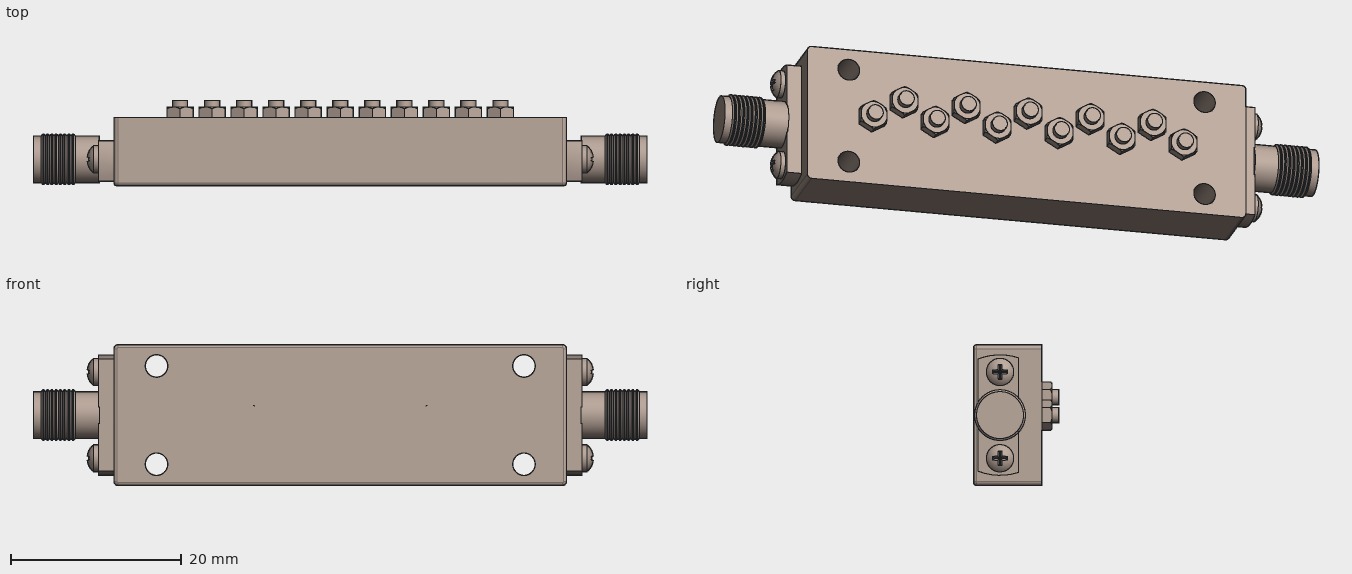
import cadquery as cq
import math

housing_length = 53.0
housing_depth = 8.0
housing_height = 16.5
end_edge_radius = 0.5
front_edge_radius = 0.35

mount_hole_diameter = 2.6
mount_hole_spacing_x = 43.0
mount_hole_spacing_z = 11.5

overall_length = 71.8
connector_y = 3.1
flange_thickness = 1.8
flange_width = 4.75
flange_strip_shift = -0.2
flange_diameter = 14.1
barrel_diameter = 5.5
thread_diameter = 5.95
thread_pitch = 0.5
thread_ridges = 8
thread_crest_width = 0.12
thread_end_gap = 0.9

flange_screw_offset = 5.05
screw_head_diameter = 3.2
screw_head_height = 1.35
screw_head_rim = 0.55
recess_span = 1.9
recess_width = 0.55
recess_depth = 0.65
recess_taper = 20.0

tuning_count = 11
tuning_spacing = 3.75
tuning_row_offset = 2.1
nut_across_flats = 3.1
nut_height = 1.2
nut_corner_chamfer = 0.2
tuning_screw_diameter = 1.8
tuning_screw_projection = 0.8

seat_overlap = 0.1

housing_end = housing_length / 2
flange_face = housing_end + flange_thickness
connector_end = overall_length / 2


def make_housing():
    """Block with rounded edges everywhere except around the back face, and its mounting holes."""
    block = cq.Workplane("XY").box(
        housing_length, housing_depth, housing_height, centered=(True, False, True)
    )
    block = block.edges("|Y").fillet(end_edge_radius).faces("<Y").edges().fillet(front_edge_radius)
    holes = (
        cq.Workplane("XZ")
        .rect(mount_hole_spacing_x, mount_hole_spacing_z, forConstruction=True)
        .vertices()
        .circle(mount_hole_diameter / 2)
        .extrude(-housing_depth)
    )
    return block.cut(holes)


def end_plane(x):
    """Sketch plane facing +X on the connector axis: local x is Y and local y is Z."""
    return cq.Workplane("YZ", origin=(x, connector_y, 0))


def make_flange():
    """Round plate trimmed to an upright strip with arc ends, set slightly towards the front."""
    start = housing_end - seat_overlap
    length = flange_face - start
    disc = end_plane(start).circle(flange_diameter / 2).extrude(length)
    strip = end_plane(start).center(flange_strip_shift, 0).rect(flange_width, flange_diameter).extrude(length)
    return disc.intersect(strip)


def make_barrel():
    """Threaded barrel turned about the connector axis, with flat-crested thread ridges."""
    barrel_radius = barrel_diameter / 2
    crest_radius = thread_diameter / 2
    flank_width = (thread_pitch - thread_crest_width) / 2
    thread_start = connector_end - thread_end_gap - thread_ridges * thread_pitch
    start = flange_face - seat_overlap
    profile = cq.Workplane("XY").moveTo(start, 0).lineTo(start, barrel_radius)
    for ridge in range(thread_ridges):
        root = thread_start + ridge * thread_pitch
        profile = profile.lineTo(root, barrel_radius)
        profile = profile.lineTo(root + flank_width, crest_radius)
        profile = profile.lineTo(root + flank_width + thread_crest_width, crest_radius)
    profile = (
        profile.lineTo(connector_end - thread_end_gap, barrel_radius)
        .lineTo(connector_end, barrel_radius)
        .lineTo(connector_end, 0)
        .close()
    )
    return profile.revolve(360, (0, 0, 0), (1, 0, 0)).translate((0, connector_y, 0))


def make_flange_screw(z):
    """Domed screw head with a tapered cross recess, standing on the flange at height z."""
    head_radius = screw_head_diameter / 2
    dome_rise = screw_head_height - screw_head_rim
    dome_radius = (head_radius**2 + dome_rise**2) / (2 * dome_rise)
    half_angle = math.asin(head_radius / dome_radius) / 2
    rim_x = flange_face + screw_head_rim
    top_x = flange_face + screw_head_height
    dome_middle = (
        top_x - dome_radius * (1 - math.cos(half_angle)),
        dome_radius * math.sin(half_angle),
    )
    head = (
        cq.Workplane("XY")
        .moveTo(flange_face - seat_overlap, 0)
        .lineTo(flange_face - seat_overlap, head_radius)
        .lineTo(rim_x, head_radius)
        .threePointArc(dome_middle, (top_x, 0))
        .close()
        .revolve(360, (0, 0, 0), (1, 0, 0))
        .translate((0, connector_y, z))
    )
    recess_mouth = end_plane(top_x).center(0, z)
    for span_y, span_z in ((recess_span, recess_width), (recess_width, recess_span)):
        head = head.cut(recess_mouth.rect(span_y, span_z).extrude(-recess_depth, taper=recess_taper))
    return head


def make_connector():
    """Complete connector for the +X end."""
    connector = make_flange().union(make_barrel())
    for side in (-1, 1):
        connector = connector.union(make_flange_screw(side * flange_screw_offset))
    return connector


def make_tuning_screw(x, z):
    """Lock nut with its corners at top and bottom, and the screw end standing out of it."""
    across_corners = nut_across_flats / math.cos(math.pi / 6)
    seat = cq.Workplane("XZ", origin=(x, housing_depth - seat_overlap, z))
    height = nut_height + seat_overlap
    nut = seat.transformed(rotate=(0, 0, 90)).polygon(6, across_corners).extrude(-height)
    rounding = (
        seat.circle(across_corners / 2)
        .extrude(-height)
        .faces(">Y")
        .chamfer(nut_corner_chamfer)
    )
    screw = seat.circle(tuning_screw_diameter / 2).extrude(-height - tuning_screw_projection)
    return nut.intersect(rounding).union(screw)


result = make_housing()

right_connector = make_connector()
result = result.union(right_connector).union(right_connector.mirror("YZ"))

for index in range(tuning_count):
    screw_x = (index - (tuning_count - 1) / 2) * tuning_spacing
    screw_z = tuning_row_offset * (index % 2)
    result = result.union(make_tuning_screw(screw_x, screw_z))